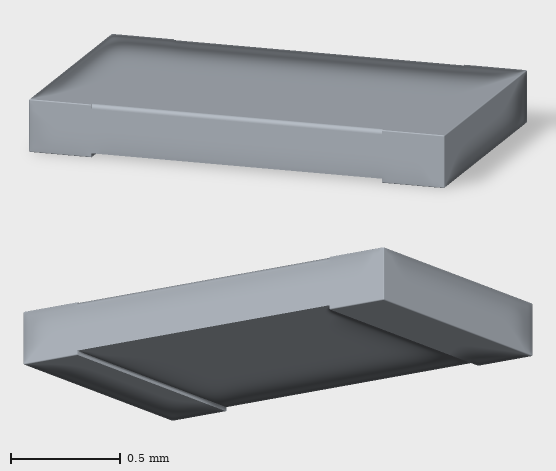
import cadquery as cq

length = 2.0
width = 1.2
height = 0.25

plating = 0.02
terminal_length = 0.3
coat_thickness = plating
edge_radius = 0.005

core_length = length - 2 * plating
core_height = height - 2 * plating
core_top = core_height / 2


def make_core():
    """Ceramic block, centred on the origin."""
    return cq.Workplane("XY").box(core_length, width, core_height)


def make_terminal(side):
    """C-shaped end cap with rounded outer edges; side is -1 for the -X end and +1 for the +X end."""
    center_x = side * (length - terminal_length) / 2
    block = cq.Workplane("XY").box(terminal_length, width, height).translate((center_x, 0, 0))
    end_face = ">X" if side > 0 else "<X"
    rounded = block.edges(f"|X or {end_face}").fillet(edge_radius)
    return rounded.cut(make_core())


def make_coat():
    """Protective coat between the end caps, its two long upper edges rounded down to the core."""
    half_width = width / 2
    coat_length = length - 2 * terminal_length
    coat_top = core_top + coat_thickness
    flat_half_width = half_width - coat_thickness
    return (
        cq.Workplane("YZ", origin=(-coat_length / 2, 0, 0))
        .moveTo(-half_width, core_top)
        .lineTo(half_width, core_top)
        .radiusArc((flat_half_width, coat_top), -coat_thickness)
        .lineTo(-flat_half_width, coat_top)
        .radiusArc((-half_width, core_top), -coat_thickness)
        .close()
        .extrude(coat_length)
    )


core = make_core()
coat = make_coat()
terminals = [make_terminal(side) for side in (-1, 1)]

result = cq.Compound.makeCompound(
    [core.val(), coat.val(), *[terminal.val() for terminal in terminals]]
)